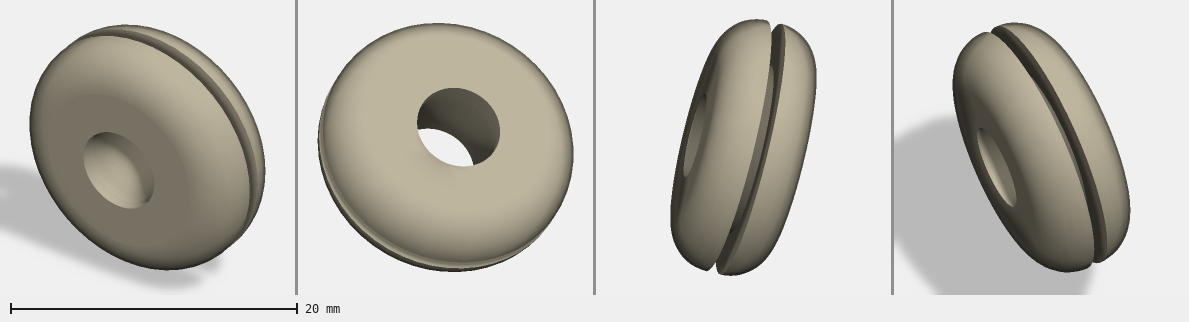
import cadquery as cq
import math

outer_diameter = 18.0
total_width = 7.0
groove_width = 1.0
bore_diameter = 6.0

outer_radius = outer_diameter / 2
bore_radius = bore_diameter / 2
half_width = total_width / 2
half_groove = groove_width / 2

rounding_radius = half_width - half_groove
face_radius = outer_radius - rounding_radius
groove_radius = face_radius

diagonal_offset = rounding_radius * math.sqrt(0.5)
arc_mid_radius = face_radius + diagonal_offset
arc_mid_height = half_groove + diagonal_offset

section = (
    cq.Workplane("XY")
    .moveTo(bore_radius, -half_width)
    .lineTo(face_radius, -half_width)
    .threePointArc((arc_mid_radius, -arc_mid_height), (outer_radius, -half_groove))
    .lineTo(groove_radius, -half_groove)
    .lineTo(groove_radius, half_groove)
    .lineTo(outer_radius, half_groove)
    .threePointArc((arc_mid_radius, arc_mid_height), (face_radius, half_width))
    .lineTo(bore_radius, half_width)
    .close()
)

result = section.revolve(360, (0, 0, 0), (0, 1, 0))